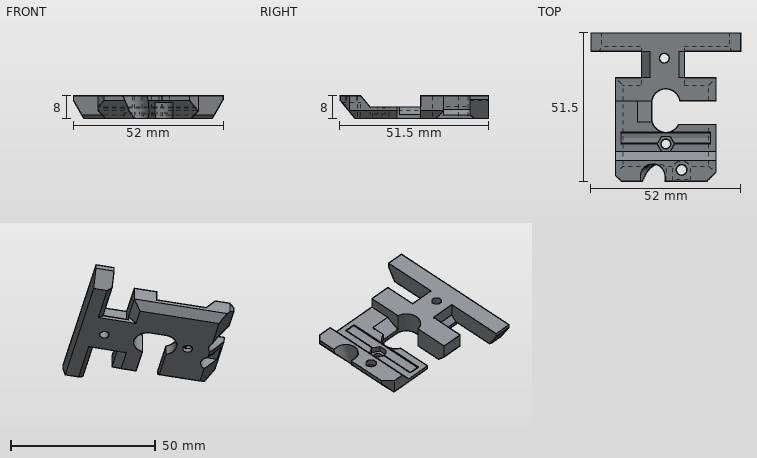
import cadquery as cq
import math

thickness = 8.0
total_depth = 51.5

bar_length = 52.0
bar_depth = 6.45
bar_front = total_depth - bar_depth
bar_left_end_height = 1.7
bar_right_end_height = 1.35
bar_end_taper_per_height = math.tan(math.radians(30))
bar_edge_run = 1.65
bar_edge_height = 1.2

neck_left = -5.5
neck_right = 4.6
neck_base_left = -8.5
neck_base_right = 6.55
neck_slope_bottom = bar_edge_height
neck_left_slope_top = 4.25
neck_right_slope_top = neck_slope_bottom + (neck_base_right - neck_right)

body_width = 34.95
body_half = body_width / 2
body_back = 35.95
body_edge_run = 2.65
body_edge_height = 2.8
front_face_bottom = 6.35
front_slope_run = 5.2
left_corner = (2.15, 1.9)
right_corner = (3.2, 3.3)

floor_height = 4.1
recess_back = 27.9
recess_front = 10.35
recess_front_top = 7.1

bore_radius = 4.9
bore_front_center = 21.85
bore_back_center = 27.15
opening_front = 19.7
opening_back = recess_back
ramp_left = -9.85
ramp_front = 20.55
ramp_drop = 2.65

groove_length = 31.05
groove_front = 12.9
groove_back = 17.05
groove_wall_run = 0.3
groove_wall_depth = 0.15
groove_depth = 0.4

screw_diameter = 3.3
neck_hole_at = (-0.5, 42.7)
nut_flats = 5.2
nut_hole_at = (0, recess_front + nut_flats / 2)
nut_floor = 1.65
front_hole_diameter = 3.6
front_hole_at = (5.45, 3.95)
counterbore_diameter = 6.2
counterbore_top = 5.6

notch_back = 6.0
notch_top_radius = 4.25
notch_top_x = -4.6
notch_bottom_radius = counterbore_diameter / 2
notch_bottom_x = -2.45


def prism_along_y(points, y_start, y_end):
    """Extrude an (x, z) outline from y_start to y_end."""
    return cq.Workplane("XZ", origin=(0, y_start, 0)).polyline(points).close().extrude(y_start - y_end)


def prism_along_x(points, x_start, x_end):
    """Extrude a (y, z) outline from x_start to x_end."""
    return cq.Workplane("YZ", origin=(x_start, 0, 0)).polyline(points).close().extrude(x_end - x_start)


def box(x_start, x_end, y_start, y_end, z_start, z_end):
    size = (x_end - x_start, y_end - y_start, z_end - z_start)
    return cq.Workplane("XY").box(*size, centered=False).translate((x_start, y_start, z_start))


def cylinder(center, diameter, z_start=0, z_end=thickness):
    return cq.Workplane("XY", origin=(*center, z_start)).circle(diameter / 2).extrude(z_end - z_start)


def make_bar():
    half = bar_length / 2
    left_shoulder = thickness - bar_left_end_height
    right_shoulder = thickness - bar_right_end_height
    left_taper = left_shoulder * bar_end_taper_per_height
    right_taper = right_shoulder * bar_end_taper_per_height
    ends = prism_along_y(
        [(-half + left_taper, 0), (half - right_taper, 0), (half, right_shoulder), (half, thickness),
         (-half, thickness), (-half, left_shoulder)],
        bar_front, total_depth,
    )
    section = prism_along_x(
        [(bar_front + bar_edge_run, 0), (total_depth, 0), (total_depth, thickness),
         (bar_front, thickness), (bar_front, bar_edge_height)],
        -half, half,
    )
    return ends.intersect(section)


def make_neck():
    web = prism_along_y(
        [(neck_base_left, 0), (neck_base_right, 0), (neck_base_right, neck_slope_bottom),
         (neck_right, neck_right_slope_top), (neck_right, thickness), (neck_left, thickness),
         (neck_left, neck_left_slope_top), (neck_base_left, neck_slope_bottom)],
        body_back, bar_front + bar_edge_run,
    )
    root = box(neck_base_left, neck_base_right, body_back - body_edge_run, body_back, 0, thickness)
    return web.union(root)


def make_body():
    half_bottom = body_half - body_edge_run
    across = prism_along_y(
        [(-half_bottom, 0), (half_bottom, 0), (body_half, body_edge_height), (body_half, thickness),
         (-body_half, thickness), (-body_half, body_edge_height)],
        0, body_back,
    )
    along = prism_along_x(
        [(front_slope_run, 0), (body_back - body_edge_run, 0), (body_back, body_edge_height),
         (body_back, thickness), (recess_back, thickness), (recess_back, floor_height),
         (recess_front, floor_height), (recess_front_top, thickness), (0, thickness),
         (0, front_face_bottom)],
        -body_half, body_half,
    )
    left_run, left_depth = left_corner
    right_run, right_depth = right_corner
    plan = (
        cq.Workplane("XY")
        .polyline([(-body_half + left_run, 0), (body_half - right_run, 0), (body_half, right_depth),
                   (body_half, body_back), (-body_half, body_back), (-body_half, left_depth)])
        .close()
        .extrude(thickness)
    )
    return across.intersect(along).intersect(plan)


def bore_cut():
    bore = box(-bore_radius, bore_radius, bore_front_center, bore_back_center, 0, thickness)
    for center_y in (bore_front_center, bore_back_center):
        bore = bore.union(cylinder((0, center_y), 2 * bore_radius))
    return bore.union(box(0, body_half, opening_front, opening_back, 0, thickness))


def ramp_cut():
    return prism_along_y(
        [(ramp_left, floor_height), (-bore_radius, floor_height - ramp_drop), (0, floor_height - ramp_drop),
         (0, floor_height)],
        ramp_front, recess_back,
    )


def groove_cut():
    wall_foot = floor_height - groove_wall_depth
    return prism_along_x(
        [(groove_front, floor_height), (groove_front + groove_wall_run, wall_foot),
         ((groove_front + groove_back) / 2, floor_height - groove_depth),
         (groove_back - groove_wall_run, wall_foot), (groove_back, floor_height)],
        -groove_length / 2, groove_length / 2,
    )


def nut_cut():
    across_corners = nut_flats / math.cos(math.pi / 6)
    pocket = (
        cq.Workplane("XY", origin=(*nut_hole_at, nut_floor))
        .polygon(6, across_corners)
        .extrude(floor_height - nut_floor)
    )
    return pocket.union(cylinder(nut_hole_at, screw_diameter))


def front_hole_cut():
    x, y = front_hole_at
    radius = counterbore_diameter / 2
    counterbore = cylinder(front_hole_at, counterbore_diameter, 0, counterbore_top)
    mouth = box(x - radius, x + radius, 0, y, 0, counterbore_top)
    return cylinder(front_hole_at, front_hole_diameter).union(counterbore).union(mouth)


def notch_cut():
    def outline(plane, x, radius):
        y = notch_back - radius
        return (
            plane.moveTo(x - radius, 0)
            .lineTo(x - radius, y)
            .threePointArc((x, notch_back), (x + radius, y))
            .lineTo(x + radius, 0)
            .close()
        )

    bottom = outline(cq.Workplane("XY"), notch_bottom_x, notch_bottom_radius)
    top_plane = bottom.workplane(offset=thickness)
    return outline(top_plane, notch_top_x, notch_top_radius).loft(ruled=True)


result = make_bar().union(make_neck()).union(make_body())
for cut in (bore_cut(), ramp_cut(), groove_cut(), nut_cut(), front_hole_cut(), notch_cut()):
    result = result.cut(cut)
result = result.cut(cylinder(neck_hole_at, screw_diameter))